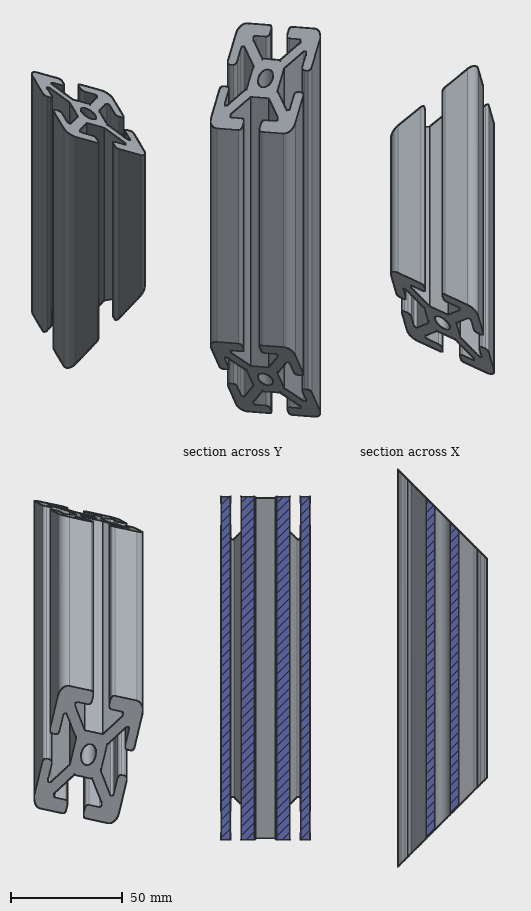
import cadquery as cq

length = 177.8
side = 40.0
corner_radius = 4.1
slot_opening = 8.2
lip_thickness = 4.5
lip_radius = 1.5
core_width = 14.5
web_offset = 3.0
pocket_radius = 0.9
bore_diameter = 6.8

half_side = side / 2
half_opening = slot_opening / 2
lip_inner = half_side - lip_thickness
half_core = core_width / 2
pocket_half_width = lip_inner - web_offset
floor_half_width = half_core - web_offset
slot_margin = 3.5


def slot_cutter():
    """One T-slot opening toward +Y, with its rounded inner corners and lips."""
    right_side = [
        (half_opening, half_side + slot_margin),
        (half_opening, lip_inner),
        (pocket_half_width, lip_inner),
        (floor_half_width, half_core),
    ]
    left_side = [(-x, y) for x, y in reversed(right_side)]
    slot = cq.Workplane("XY").polyline(right_side + left_side).close().extrude(length)

    def round_edges(body, half_width, depth, radius):
        for x in (-half_width, half_width):
            body = body.edges(cq.selectors.NearestToPointSelector((x, depth, length / 2))).fillet(radius)
        return body

    slot = round_edges(slot, pocket_half_width, lip_inner, pocket_radius)
    return round_edges(slot, half_opening, lip_inner, lip_radius)


def extruded_profile():
    """Full-length slotted bar with square ends, standing on Z = 0."""
    bar = cq.Workplane("XY").rect(side, side).extrude(length)
    bar = bar.edges("|Z").fillet(corner_radius)
    slot = slot_cutter()
    for quarter in range(4):
        bar = bar.cut(slot.rotate((0, 0, 0), (0, 0, 1), 90 * quarter))

    for x in (-half_opening, half_opening):
        for y in (-half_side, half_side):
            for point in ((x, y, length / 2), (y, x, length / 2)):
                bar = bar.edges(cq.selectors.NearestToPointSelector(point)).fillet(lip_radius)

    return bar.faces(">Z").workplane(origin=(0, 0, 0)).hole(bore_diameter)


def mitre_envelope():
    """Trapezoid in the YZ plane: 45 degree mitres shorten the +Y face at both ends."""
    outline = [
        (-half_side, 0),
        (half_side, side),
        (half_side, length - side),
        (-half_side, length),
    ]
    return cq.Workplane("YZ").polyline(outline).close().extrude(half_side, both=True)


mitred_bar = extruded_profile().intersect(mitre_envelope())
result = mitred_bar.translate((0, 0, -length / 2))